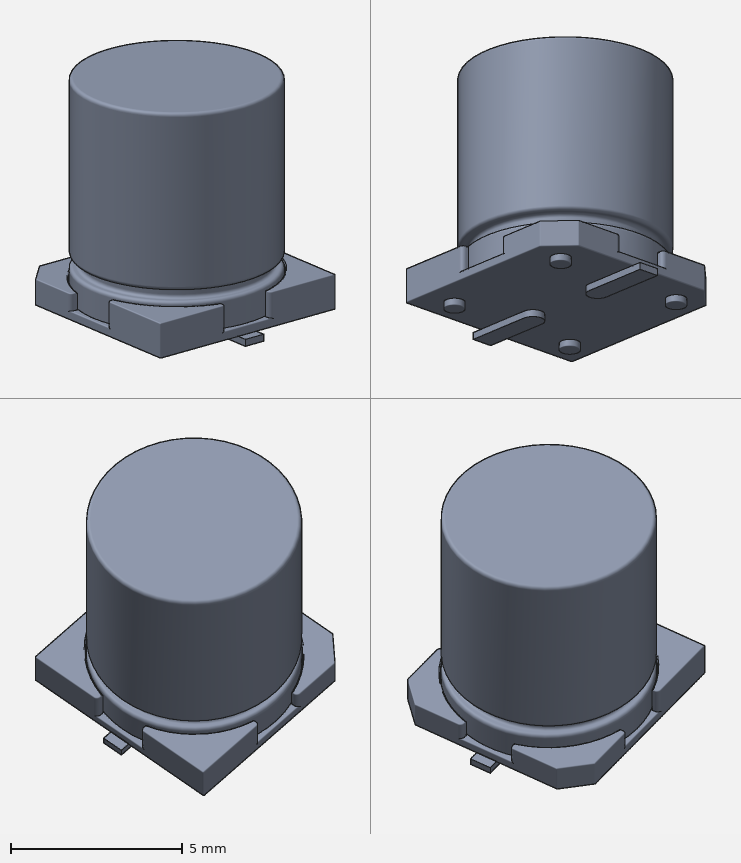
import cadquery as cq


total_height = 7.3
terminal_span = 7.2
base_side = 6.6
stand_off = 0.22

can_radius = 6.3 / 2
neck_radius = 5.67 / 2
bead_round = 0.12
can_bottom = 0.29
bead_start = 1.315
neck_height = 0.12

floor_top = 0.505
low_block_top = 1.045
tall_block_top = 1.315
corner_cut = 0.8
recess_width = 1.68
can_clearance = 0.03
recess_corner_round = 0.13
edge_round = 0.04

foot_diameter = 0.63
foot_offset = 2.29
foot_edge_round = 0.02
terminal_width = 0.69
terminal_inner_end = 1.05


def make_can():
    r = bead_round
    lower_shoulder = bead_start + r
    neck_bottom = lower_shoulder + r
    neck_top = neck_bottom + neck_height
    upper_shoulder = neck_top + r
    diagonal = r * (1 - 0.5 ** 0.5)
    return (
        cq.Workplane("XZ")
        .moveTo(0, can_bottom)
        .lineTo(can_radius, can_bottom)
        .lineTo(can_radius, bead_start)
        .threePointArc((can_radius - diagonal, lower_shoulder - diagonal), (can_radius - r, lower_shoulder))
        .lineTo(neck_radius + r, lower_shoulder)
        .threePointArc((neck_radius + diagonal, lower_shoulder + diagonal), (neck_radius, neck_bottom))
        .lineTo(neck_radius, neck_top)
        .threePointArc((neck_radius + diagonal, upper_shoulder - diagonal), (neck_radius + r, upper_shoulder))
        .lineTo(can_radius - r, upper_shoulder)
        .threePointArc((can_radius - diagonal, upper_shoulder + diagonal), (can_radius, upper_shoulder + r))
        .lineTo(can_radius, total_height - r)
        .threePointArc((can_radius - diagonal, total_height - diagonal), (can_radius - r, total_height))
        .lineTo(0, total_height)
        .close()
        .revolve(360, (0, 0, 0), (0, 1, 0))
    )


def level_selector(height):
    """Pick what is centred at the given height."""
    reach = base_side
    margin = 0.01
    return cq.selectors.BoxSelector((-reach, -reach, height - margin), (reach, reach, height + margin))


def recess_mouths(bottom, top):
    """Pick the edges where the four recesses open through the outer faces of the base."""
    margin = 0.01
    outer = base_side / 2 + margin
    inner = base_side / 2 - margin
    across = recess_width / 2 + margin
    low = bottom - margin
    high = top + margin
    box = cq.selectors.BoxSelector
    return (
        box((inner, -across, low), (outer, across, high))
        + box((-outer, -across, low), (-inner, across, high))
        + box((-across, inner, low), (across, outer, high))
        + box((-across, -outer, low), (across, -inner, high))
    )


def make_base():
    half = base_side / 2
    base = (
        cq.Workplane("XY")
        .workplane(offset=stand_off)
        .rect(base_side, base_side)
        .extrude(tall_block_top - stand_off)
        .edges("|Z and <X")
        .chamfer(corner_cut)
        .edges("|Z")
        .fillet(edge_round)
        .faces("<Z")
        .edges()
        .fillet(edge_round)
    )

    low_side = cq.Workplane("XY").box(half, base_side, tall_block_top, centered=(False, True, False))
    base = base.cut(low_side.translate((-half, 0, low_block_top)))

    recesses = cq.Workplane("XY").circle(can_radius + can_clearance).extrude(tall_block_top)
    for length, width in ((base_side, recess_width), (recess_width, base_side)):
        recesses = recesses.union(cq.Workplane("XY").rect(length, width).extrude(tall_block_top))
    base = base.cut(recesses.translate((0, 0, floor_top)))

    base = base.edges(recess_mouths(floor_top, tall_block_top)).edges("|Z").fillet(recess_corner_round)
    for block_top in (low_block_top, tall_block_top):
        base = base.faces(level_selector(block_top)).edges().fillet(edge_round)
    return base.edges(recess_mouths(floor_top, floor_top)).edges("not |Z").fillet(edge_round)


def make_feet():
    return (
        cq.Workplane("XY")
        .rect(2 * foot_offset, 2 * foot_offset, forConstruction=True)
        .vertices()
        .circle(foot_diameter / 2)
        .extrude(stand_off)
        .faces("<Z")
        .edges()
        .fillet(foot_edge_round)
    )


def make_terminal(side):
    """Flat strip with a full-round inner end; side is +1 for +X and -1 for -X."""
    outer_end = terminal_span / 2
    round_centre = terminal_inner_end + terminal_width / 2
    return (
        cq.Workplane("XY")
        .moveTo(side * outer_end, terminal_width / 2)
        .lineTo(side * round_centre, terminal_width / 2)
        .threePointArc((side * terminal_inner_end, 0), (side * round_centre, -terminal_width / 2))
        .lineTo(side * outer_end, -terminal_width / 2)
        .close()
        .extrude(stand_off)
    )


result = make_base().union(make_can()).union(make_feet())
for terminal_side in (-1, 1):
    result = result.union(make_terminal(terminal_side))